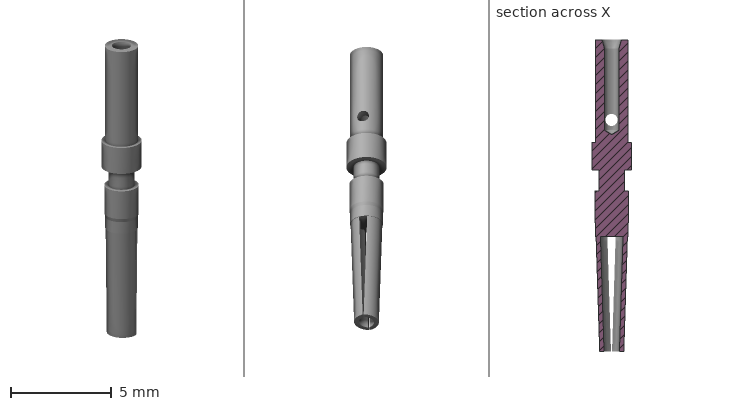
import cadquery as cq
import math

total_length = 15.5

barrel_diameter = 1.66
barrel_length = 5.1

collar_diameter = 2.0
collar_length = 1.4
neck_diameter = 1.3
neck_length = 1.0

body_diameter = 1.71
body_length = 1.5
taper_length = 0.18
ring_diameter = 1.63
ring_length = 0.62

tine_diameter = 1.58
socket_diameter = 1.1
slot_width = 0.41
tine_tilt = 1.8
root_overlap = 0.1

mouth_diameter = 0.95
mouth_depth = 0.45
wire_hole_diameter = 0.7
wire_hole_depth = 4.5
drill_tip_angle = 118.0

inspection_diameter = 0.6
inspection_depth = 4.0

collar_top = total_length - barrel_length
neck_top = collar_top - collar_length
body_top = neck_top - neck_length
taper_top = body_top - body_length
ring_top = taper_top - taper_length
tine_root = ring_top - ring_length


def revolve_profile(points):
    """Revolve a closed (radius, z) outline about the Z axis."""
    profile = cq.Workplane("XZ").polyline(points).close()
    return profile.revolve(360, (0, 0, 0), (0, 1, 0))


def make_body():
    """Stepped turned body from the tine root to the barrel end."""
    barrel_radius = barrel_diameter / 2
    collar_radius = collar_diameter / 2
    neck_radius = neck_diameter / 2
    body_radius = body_diameter / 2
    ring_radius = ring_diameter / 2
    return revolve_profile([
        (0, tine_root),
        (ring_radius, tine_root),
        (ring_radius, ring_top),
        (body_radius, taper_top),
        (body_radius, body_top),
        (neck_radius, body_top),
        (neck_radius, neck_top),
        (collar_radius, neck_top),
        (collar_radius, collar_top),
        (barrel_radius, collar_top),
        (barrel_radius, total_length),
        (0, total_length),
    ])


def make_wire_hole():
    """Cutter for the wire hole: tapered mouth, straight bore, conical tip."""
    mouth_radius = mouth_diameter / 2
    hole_radius = wire_hole_diameter / 2
    tip_length = hole_radius / math.tan(math.radians(drill_tip_angle / 2))
    hole_bottom = total_length - wire_hole_depth
    return revolve_profile([
        (0, total_length),
        (mouth_radius, total_length),
        (hole_radius, total_length - mouth_depth),
        (hole_radius, hole_bottom),
        (0, hole_bottom - tip_length),
    ])


def make_inspection_hole():
    """Cutter from the -X side of the barrel to the wire hole axis."""
    hole_height = total_length - inspection_depth
    start = cq.Workplane("YZ", origin=(-barrel_diameter, 0, hole_height))
    return start.circle(inspection_diameter / 2).extrude(barrel_diameter)


def make_tine(side):
    """One tine, a segment of a tube, on the +Y (side = 1) or -Y (side = -1) half."""
    tube_length = tine_root + 2 * root_overlap
    tube_bottom = -root_overlap
    tube = (
        cq.Workplane("XY", origin=(0, 0, tube_bottom))
        .circle(tine_diameter / 2)
        .circle(socket_diameter / 2)
        .extrude(tube_length)
    )
    half_block = (
        cq.Workplane("XY", origin=(0, side * (slot_width + tine_diameter) / 2, tube_bottom))
        .rect(tine_diameter, tine_diameter)
        .extrude(tube_length)
    )
    pivot = (0, 0, tine_root)
    pivot_end = (1, 0, tine_root)
    tine = tube.intersect(half_block).rotate(pivot, pivot_end, -side * tine_tilt)
    above_tips = (
        cq.Workplane("XY")
        .rect(collar_diameter, collar_diameter)
        .extrude(tine_root + root_overlap / 2)
    )
    return tine.intersect(above_tips)


result = make_body().cut(make_wire_hole()).cut(make_inspection_hole())
for side in (1, -1):
    result = result.union(make_tine(side))